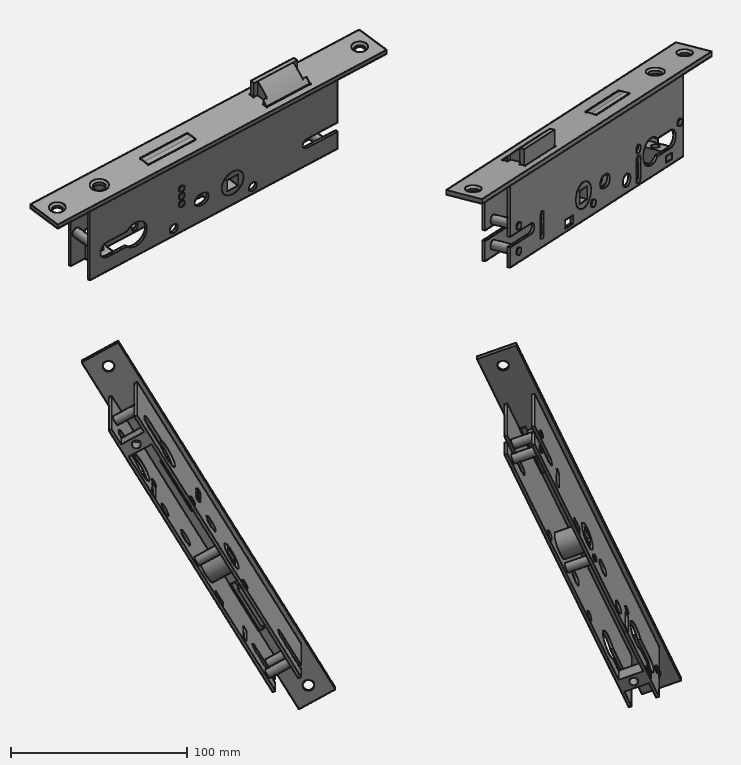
import cadquery as cq

CASE_HEIGHT = 53.0
PLATE_THICKNESS = 3.0
PLATE_TOP = CASE_HEIGHT + PLATE_THICKNESS
LATCH_TOP = 66.0
LATCH_TAIL_DEPTH = 5.0

PLATE_WIDTH = 24.0
PLATE_LENGTH = 244.0
FIXING_HOLE_Y = 112.2
FIXING_HOLE_DIAMETER = 6.5
FIXING_SINK_DIAMETER = 9.5
CYLINDER_SCREW_Y = -81.0
CYLINDER_SCREW_HOLE_DIAMETER = 7.5
CYLINDER_SCREW_SINK_DIAMETER = 11.0
FIXING_SINK_ANGLE = 90.0
CYLINDER_SCREW_SINK_ANGLE = 120.0

CASE_BACK_Y = 88.0
CASE_FRONT_Y = -96.0
CASE_GAP = 15.0
SIDE_THICKNESS = 1.8
CASE_WIDTH = CASE_GAP + 2 * SIDE_THICKNESS
AXIS_Z = 15.8

PIN_DIAMETER = 5.8
RIVET_DIAMETER = 4.5
RIVET_HEIGHT = 0.7
UPPER_PIN_Z = 22.8
LOWER_PIN_Z = 7.1
BACK_PIN_Y = 79.2
MIDDLE_PIN_Y = 0.0
FRONT_PIN_Y = -91.8
PIN_POSITIONS = [
    (BACK_PIN_Y, UPPER_PIN_Z),
    (BACK_PIN_Y, LOWER_PIN_Z),
    (MIDDLE_PIN_Y, LOWER_PIN_Z),
    (FRONT_PIN_Y, UPPER_PIN_Z),
]
STUD_Y = -28.0
STUD_DIAMETER = 4.2
STUD_MIDDLE_Z = 26.2
STUD_PITCH = 5.5

NOTCH_WIDTH = 6.6
NOTCH_DEPTH = 25.8

KEYHOLE_Y = -62.0
KEYHOLE_DIAMETER = 17.0
KEYHOLE_SLOT_WIDTH = 11.0
KEYHOLE_SLOT_END_Y = -88.0

OVAL_Y = -12.9
OVAL_LENGTH = 10.3
OVAL_HEIGHT = 8.1

SLOT_HEIGHT = 17.0
BACK_SLOT = {"y": 53.8, "z": 13.7, "width": 3.7}
FRONT_SLOT = {"y": -48.4, "z": 9.9, "width": 4.4}
ROUND_HOLE_ABOVE_SLOT = {"y": -48.4, "z": 22.5, "diameter": 5.0}
LOWER_ROUND_HOLE = {"y": -36.0, "z": 7.7, "diameter": 8.0}
WINDOW = {"y": 25.1, "z": 4.8, "length": 8.1, "height": 5.2}
FAR_HOLE_DIAMETER = 6.0
FAR_HOLE_Z = 5.2
FAR_HOLE_YS = [25.1, -33.6]

BLOCK_LENGTH = 8.6
BLOCK_HEIGHT = 9.8
BLOCK_HOLE_DIAMETER = 5.0
BLOCK_MARK_LENGTH = 6.6
BLOCK_MARK_HEIGHT = 3.9
BLOCK_MARK_Z = 4.8
BLOCK_MARK_DEPTH = 0.2

FOLLOWER_Y = 10.0
FOLLOWER_DIAMETER = 16.2
FOLLOWER_CLEARANCE = 0.05
SPINDLE_SIZE = 8.1

LATCH_Y = 53.2
LATCH_LENGTH = 32.2
LATCH_WIDTH = 14.0
LATCH_WEB_LENGTH = 26.5
LATCH_WEB_WIDTH = 8.1
LATCH_LENGTH_CLEARANCE = 0.3
LATCH_WIDTH_CLEARANCE = 0.75
LATCH_SLOPE_MIDDLE = (1.3, 61.6)
LATCH_SLOPE_FOOT_Z = 55.9

BOLT_Y = -30.2
BOLT_LENGTH = 35.4
BOLT_WIDTH = 7.5
BOLT_EDGE_DROP = 0.5


def box(x_size, y_size, z_bottom, z_top, y=0.0, x=0.0):
    """Upright box centred on (x, y)."""
    return cq.Workplane("XY", origin=(x, y, z_bottom)).rect(x_size, y_size).extrude(z_top - z_bottom)


def across(x_start, y=0.0, z=0.0):
    """Workplane for sketches extruded along +X; local x is Y and local y is Z."""
    return cq.Workplane("YZ", origin=(x_start, y, z))


def h_section(length, web_length, width, web_width, z_bottom, z_top):
    """Prism at the latch place, with two full-length flanges joined by a shorter web."""
    flange_width = (width - web_width) / 2
    flange_x = (web_width + flange_width) / 2
    shape = box(width, web_length, z_bottom, z_top, LATCH_Y)
    for x in (-flange_x, flange_x):
        shape = shape.union(box(flange_width, length, z_bottom, z_top, LATCH_Y, x))
    return shape


def make_faceplate():
    plate = box(PLATE_WIDTH, PLATE_LENGTH, CASE_HEIGHT, PLATE_TOP)
    top = plate.faces(">Z").workplane(origin=(0, 0, PLATE_TOP))
    plate = top.pushPoints([(0, -FIXING_HOLE_Y), (0, FIXING_HOLE_Y)]).cskHole(
        FIXING_HOLE_DIAMETER, FIXING_SINK_DIAMETER, FIXING_SINK_ANGLE
    )
    top = plate.faces(">Z").workplane(origin=(0, 0, PLATE_TOP))
    plate = top.pushPoints([(0, CYLINDER_SCREW_Y)]).cskHole(
        CYLINDER_SCREW_HOLE_DIAMETER, CYLINDER_SCREW_SINK_DIAMETER, CYLINDER_SCREW_SINK_ANGLE
    )
    latch_opening = h_section(
        LATCH_LENGTH + 2 * LATCH_LENGTH_CLEARANCE,
        LATCH_WEB_LENGTH + 2 * LATCH_LENGTH_CLEARANCE,
        LATCH_WIDTH + 2 * LATCH_WIDTH_CLEARANCE,
        LATCH_WEB_WIDTH,
        CASE_HEIGHT,
        PLATE_TOP,
    )
    bolt_opening = box(BOLT_WIDTH, BOLT_LENGTH, CASE_HEIGHT, PLATE_TOP, BOLT_Y)
    return plate.cut(latch_opening).cut(bolt_opening)


def make_case_openings():
    """Openings that pass through both sides of the case."""
    left = -CASE_WIDTH / 2

    notch_end_y = CASE_BACK_Y - NOTCH_DEPTH + NOTCH_WIDTH / 2
    notch_run = CASE_BACK_Y - notch_end_y
    notch = across(left, notch_end_y + notch_run / 2, AXIS_Z).rect(notch_run, NOTCH_WIDTH)
    notch_end = across(left, notch_end_y, AXIS_Z).circle(NOTCH_WIDTH / 2)
    openings = notch.extrude(CASE_WIDTH).union(notch_end.extrude(CASE_WIDTH))

    keyhole = across(left, KEYHOLE_Y, AXIS_Z).circle(KEYHOLE_DIAMETER / 2).extrude(CASE_WIDTH)
    slot_start_y = KEYHOLE_Y + KEYHOLE_SLOT_WIDTH / 2
    slot_middle_y = (slot_start_y + KEYHOLE_SLOT_END_Y) / 2
    slot_length = slot_start_y - KEYHOLE_SLOT_END_Y
    keyhole_slot = across(left, slot_middle_y, AXIS_Z).slot2D(slot_length, KEYHOLE_SLOT_WIDTH)
    openings = openings.union(keyhole).union(keyhole_slot.extrude(CASE_WIDTH))

    oval = across(left, OVAL_Y, AXIS_Z).slot2D(OVAL_LENGTH, OVAL_HEIGHT).extrude(CASE_WIDTH)
    seat_radius = FOLLOWER_DIAMETER / 2 + FOLLOWER_CLEARANCE
    follower_seat = across(left, FOLLOWER_Y, AXIS_Z).circle(seat_radius).extrude(CASE_WIDTH)
    return openings.union(oval).union(follower_seat)


def make_left_openings():
    """Openings in the -X side only."""
    left = -CASE_WIDTH / 2
    openings = across(left, WINDOW["y"], WINDOW["z"]).rect(WINDOW["length"], WINDOW["height"])
    openings = openings.extrude(SIDE_THICKNESS)
    for slot in (BACK_SLOT, FRONT_SLOT):
        cutter = across(left, slot["y"], slot["z"]).slot2D(SLOT_HEIGHT, slot["width"], 90)
        openings = openings.union(cutter.extrude(SIDE_THICKNESS))
    for hole in (ROUND_HOLE_ABOVE_SLOT, LOWER_ROUND_HOLE):
        cutter = across(left, hole["y"], hole["z"]).circle(hole["diameter"] / 2)
        openings = openings.union(cutter.extrude(SIDE_THICKNESS))
    return openings


def make_right_openings():
    """Openings in the +X side only."""
    points = [(y, FAR_HOLE_Z) for y in FAR_HOLE_YS]
    return across(CASE_GAP / 2).pushPoints(points).circle(FAR_HOLE_DIAMETER / 2).extrude(SIDE_THICKNESS)


def make_case():
    """Two side plates joined by pins and the cylinder screw block."""
    length = CASE_BACK_Y - CASE_FRONT_Y
    middle_y = (CASE_BACK_Y + CASE_FRONT_Y) / 2
    case = box(CASE_WIDTH, length, 0, CASE_HEIGHT, middle_y)
    case = case.cut(box(CASE_GAP, length, 0, CASE_HEIGHT, middle_y))
    case = case.cut(make_case_openings()).cut(make_left_openings()).cut(make_right_openings())

    pins = across(-CASE_GAP / 2).pushPoints(PIN_POSITIONS).circle(PIN_DIAMETER / 2).extrude(CASE_GAP)
    rivets = across(-CASE_WIDTH / 2 - RIVET_HEIGHT).pushPoints(PIN_POSITIONS)
    rivets = rivets.circle(RIVET_DIAMETER / 2).extrude(RIVET_HEIGHT)
    stud_points = [(STUD_Y, STUD_MIDDLE_Z + step * STUD_PITCH) for step in (-1, 0, 1)]
    studs = across(CASE_WIDTH / 2).pushPoints(stud_points).circle(STUD_DIAMETER / 2).extrude(RIVET_HEIGHT)

    block = box(CASE_GAP, BLOCK_LENGTH, 0, BLOCK_HEIGHT, CYLINDER_SCREW_Y)
    block = block.faces(">Z").workplane().hole(BLOCK_HOLE_DIAMETER)
    mark = across(-CASE_WIDTH / 2, CYLINDER_SCREW_Y, BLOCK_MARK_Z)
    mark = mark.rect(BLOCK_MARK_LENGTH, BLOCK_MARK_HEIGHT).extrude(BLOCK_MARK_DEPTH)

    return case.union(pins).union(rivets).union(studs).union(block).cut(mark)


def make_follower():
    hub = across(-CASE_WIDTH / 2, FOLLOWER_Y, AXIS_Z).circle(FOLLOWER_DIAMETER / 2)
    return hub.rect(SPINDLE_SIZE, SPINDLE_SIZE).extrude(CASE_WIDTH)


def make_latch():
    """H-section latch with a curved slope facing +X and a tail under its web."""
    half_width = LATCH_WIDTH / 2
    head = h_section(
        LATCH_LENGTH, LATCH_WEB_LENGTH, LATCH_WIDTH, LATCH_WEB_WIDTH, CASE_HEIGHT, LATCH_TOP
    )
    profile = (
        cq.Workplane("XZ", origin=(0, LATCH_Y, 0))
        .moveTo(-half_width, CASE_HEIGHT)
        .lineTo(-half_width, LATCH_TOP)
        .lineTo(-LATCH_WEB_WIDTH / 2, LATCH_TOP)
        .threePointArc(LATCH_SLOPE_MIDDLE, (half_width, LATCH_SLOPE_FOOT_Z))
        .lineTo(half_width, CASE_HEIGHT)
        .close()
        .extrude(LATCH_LENGTH / 2, both=True)
    )
    tail_bottom = CASE_HEIGHT - LATCH_TAIL_DEPTH
    tail = box(LATCH_WEB_WIDTH, LATCH_WEB_LENGTH, tail_bottom, CASE_HEIGHT, LATCH_Y)
    return head.intersect(profile).union(tail)


def make_bolt():
    """Bolt lying within the faceplate, with a low ridge along its top."""
    half_width = BOLT_WIDTH / 2
    edge_z = PLATE_TOP - BOLT_EDGE_DROP
    return (
        cq.Workplane("XZ", origin=(0, BOLT_Y, 0))
        .moveTo(-half_width, CASE_HEIGHT)
        .lineTo(half_width, CASE_HEIGHT)
        .lineTo(half_width, edge_z)
        .lineTo(0, PLATE_TOP)
        .lineTo(-half_width, edge_z)
        .close()
        .extrude(BOLT_LENGTH / 2, both=True)
    )


faceplate = make_faceplate()
case = make_case()
follower = make_follower()
latch = make_latch()
bolt = make_bolt()

result = cq.Compound.makeCompound(
    [faceplate.val(), case.val(), follower.val(), latch.val(), bolt.val()]
)